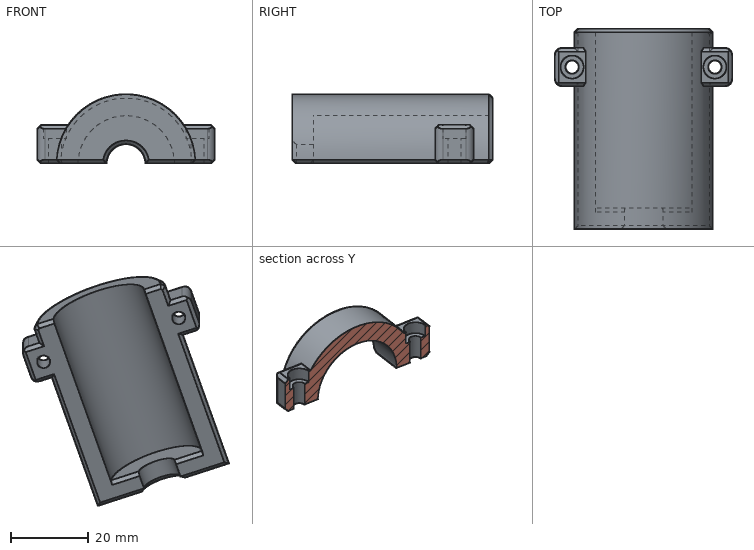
import cadquery as cq

length = 52.0
outer_radius = 18.0
bore_radius = 5.0
edge_chamfer = 1.0
wall = 5.5
cavity_radius = outer_radius - wall

overall_width = 46.0
lug_size = 10.0
lug_height = 10.0
lug_corner_radius = 2.0
lug_offset_from_end = 10.0
lug_y = length / 2 - lug_offset_from_end

screw_x = 18.5
screw_diameter = 3.4
head_diameter = 6.0
head_depth = 3.4


def half_cylinder():
    """Solid half round along Y with its +Y rim chamfered."""
    body = (
        cq.Workplane("XZ", origin=(0, length / 2, 0))
        .moveTo(-outer_radius, 0)
        .threePointArc((0, outer_radius), (outer_radius, 0))
        .close()
        .extrude(length)
    )
    body = body.faces(">Y").edges("%CIRCLE").chamfer(edge_chamfer)
    return body.faces("<Z").edges().chamfer(edge_chamfer)


def lug_bar():
    """One bar across the body whose two ends form the lugs."""
    bar = cq.Workplane("XY").center(0, lug_y).rect(overall_width, lug_size).extrude(lug_height)
    rounded_bar = bar.edges("|Z").fillet(lug_corner_radius)
    chamfered_bar = bar.faces("<Z or >Z").edges().chamfer(edge_chamfer)
    return rounded_bar.intersect(chamfered_bar)


def passage():
    """Round bore through the front wall, opening into a wider cavity that runs out of the +Y end."""
    front = -length / 2
    mouth_radius = bore_radius + edge_chamfer
    half_profile = [
        (0, front),
        (mouth_radius, front),
        (bore_radius, front + edge_chamfer),
        (bore_radius, front + wall),
        (cavity_radius, front + wall),
        (cavity_radius, length / 2),
        (0, length / 2),
    ]
    return cq.Workplane("XY").polyline(half_profile).close().revolve(360, (0, 0, 0), (0, 1, 0))


def wall_bevel():
    """Wedge that bevels the lower inner edge of the front wall."""
    inner_face = -length / 2 + wall
    return (
        cq.Workplane("YZ")
        .polyline([(inner_face - edge_chamfer, 0), (inner_face, 0), (inner_face, edge_chamfer)])
        .close()
        .extrude(cavity_radius, both=True)
    )


screw_centres = [(-screw_x, lug_y), (screw_x, lug_y)]
screw_holes = cq.Workplane("XY").pushPoints(screw_centres).circle(screw_diameter / 2).extrude(lug_height)
head_pockets = (
    cq.Workplane("XY", origin=(0, 0, lug_height - head_depth))
    .pushPoints(screw_centres)
    .circle(head_diameter / 2)
    .extrude(outer_radius)
)

result = (
    half_cylinder()
    .union(lug_bar())
    .cut(passage())
    .cut(wall_bevel())
    .cut(screw_holes)
    .cut(head_pockets)
)